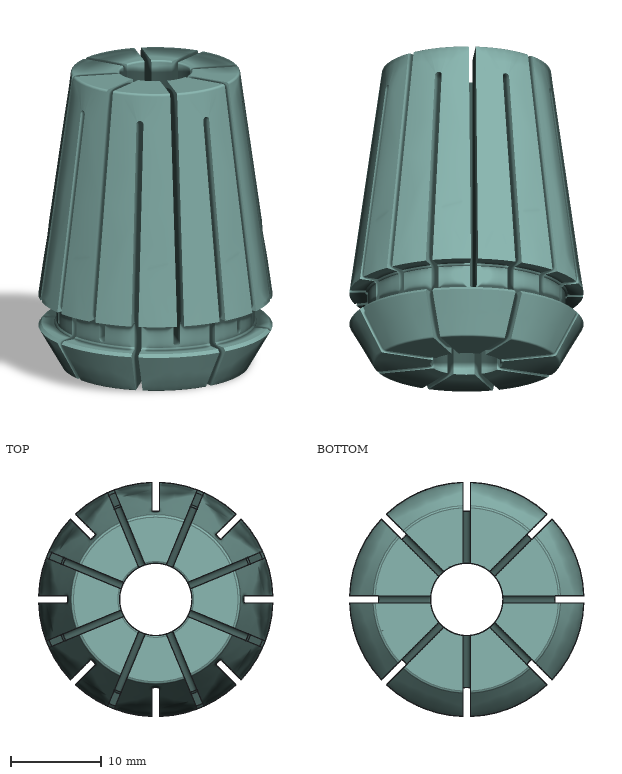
import cadquery as cq
import math

height = 34.0
cone_diameter = 25.98
bore_diameter = 8.0
cone_half_angle = 8.0
flange_half_angle = 30.0

flange_rim_z = 4.62
flange_top_z = 4.95
cone_bottom_z = 8.15

neck_radius = 10.98
neck_fillet = 0.25
outer_edge_fillet = 0.27
bore_edge_fillet = 0.2

slot_width = 0.78
slots_per_end = 8
lower_slot_top_z = 31.0
upper_slot_bottom_z = 5.37

cone_radius = cone_diameter / 2
bore_radius = bore_diameter / 2
cone_slope = math.tan(math.radians(cone_half_angle))
flange_bottom_radius = cone_radius - flange_rim_z * math.tan(math.radians(flange_half_angle))
slot_pitch = 360.0 / slots_per_end


def collet_body():
    """Revolved collet with a long cone, a neck, a nut flange and a bore."""
    flange_top_radius = cone_radius - (flange_top_z - flange_rim_z)
    cone_top_radius = cone_radius - (height - cone_bottom_z) * cone_slope
    profile = (
        cq.Workplane("XZ")
        .moveTo(bore_radius, 0)
        .lineTo(flange_bottom_radius, 0)
        .lineTo(cone_radius, flange_rim_z)
        .lineTo(flange_top_radius, flange_top_z)
        .lineTo(neck_radius + neck_fillet, flange_top_z)
        .radiusArc((neck_radius, flange_top_z + neck_fillet), -neck_fillet)
        .lineTo(neck_radius, cone_bottom_z - neck_fillet)
        .radiusArc((neck_radius + neck_fillet, cone_bottom_z), -neck_fillet)
        .lineTo(cone_radius, cone_bottom_z)
        .lineTo(cone_top_radius, height)
        .lineTo(bore_radius, height)
        .close()
    )
    body = profile.revolve(360, (0, 0, 0), (0, 1, 0))
    outer_edge = cq.selectors.RadiusNthSelector(-1)
    bore_edge = cq.selectors.RadiusNthSelector(0)
    for end_face in (">Z", "<Z"):
        body = body.faces(end_face).edges(outer_edge).fillet(outer_edge_fillet)
    return body.faces(">Z").edges(bore_edge).fillet(bore_edge_fillet)


def radial_slot(open_z, round_end_z, angle):
    """Cutter running outwards from the axis, open at one end and round at the other."""
    half_width = slot_width / 2
    inward = math.copysign(half_width, open_z - round_end_z)
    arc_start_z = round_end_z + inward
    cutter = (
        cq.Workplane("YZ")
        .moveTo(-half_width, open_z)
        .lineTo(-half_width, arc_start_z)
        .threePointArc((0, round_end_z), (half_width, arc_start_z))
        .lineTo(half_width, open_z)
        .close()
        .extrude(cone_diameter)
    )
    return cutter.rotate((0, 0, 0), (0, 0, 1), angle)


result = collet_body()
for index in range(slots_per_end):
    lower_angle = index * slot_pitch
    upper_angle = lower_angle + slot_pitch / 2
    result = result.cut(radial_slot(0, lower_slot_top_z, lower_angle))
    result = result.cut(radial_slot(height, upper_slot_bottom_z, upper_angle))